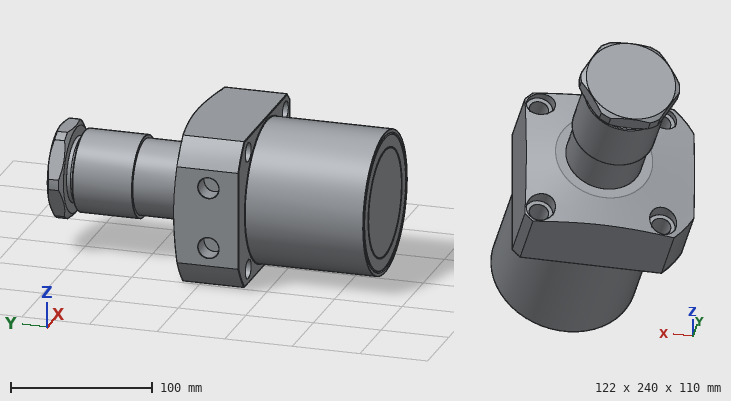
import cadquery as cq
import math

OVERALL_LENGTH = 240.0

CYLINDER_RADIUS = 52.5
CYLINDER_EDGE_CHAMFER = 0.2
CYLINDER_BASE_CHAMFER = 0.5
FLANGE_FRONT = 87.5
FLANGE_REAR = 144.2
FLANGE_LEFT = 67.0
FLANGE_RIGHT = 55.0
FLANGE_HALF_HEIGHT = 55.0
FLANGE_CORNER_RADIUS = 76.0
FLANGE_CORNER_CHAMFER = 5.8
FLANGE_FRONT_CHAMFER = 0.5
REAR_FLAT_RADIUS = 35.0
REAR_CONE_ANGLE = 15.0
ENVELOPE_CLEARANCE = 2.5

BOLT_HOLE_DIAMETER = 14.0
BOLT_SPACING = 88.0
COUNTERBORE_DIAMETER = 20.2
COUNTERBORE_FLOOR = 129.5
PORT_DIAMETER = 15.4
PORT_CHAMFER = 0.2
PORT_DEPTH = 14.5
PORT_SPACING = 45.0
PORT_Y = 110.0

GLAND_RADIUS = 49.5
PISTON_RADIUS = 39.5
BORE_DEPTH = FLANGE_FRONT
GLAND_RIM_CHAMFER = 0.7
PISTON_RIM_CHAMFER = 0.5

TUBE_RADIUS = 27.5
COLLAR_RADIUS = 30.0
COLLAR_START = 178.0
COLLAR_END = 222.5
COLLAR_FRONT_CHAMFER = 0.2
COLLAR_REAR_CHAMFER = 0.7

NECK_RADIUS = 24.0
NECK_TIP_RADIUS = 23.0
NECK_TAPER_END = 225.4
HEX_START = 228.2
HEX_ACROSS_FLATS = 65.0
HEX_TURN = 30.0
HEX_CORNER_RADIUS = 35.5
HEX_FRONT_FACE_RADIUS = 31.5
HEX_REAR_FACE_RADIUS = 32.2
HEX_CHAMFER_ANGLE = 30.0


def slope(angle):
    """Rise per unit of run for an angle in degrees."""
    return math.tan(math.radians(angle))


def turned(profile):
    """Revolve a closed outline of (radius, y) points about the Y axis."""
    return (
        cq.Workplane("YZ")
        .polyline([(y, radius) for radius, y in profile])
        .close()
        .revolve(360, (0, 0, 0), (1, 0, 0))
    )


def cross_plane(y):
    """Workplane across the axis at y, facing +Y, with local x = -X and local y = Z."""
    return cq.Workplane(cq.Plane(origin=(0, y, 0), xDir=(-1, 0, 0), normal=(0, 1, 0)))


def flange():
    """Rectangular block with two rounded left corners, two chamfered right ones and a conical rear."""
    arc_x = math.sqrt(FLANGE_CORNER_RADIUS**2 - FLANGE_HALF_HEIGHT**2)
    arc_z = math.sqrt(FLANGE_CORNER_RADIUS**2 - FLANGE_LEFT**2)
    middle_angle = math.atan2(arc_z + FLANGE_HALF_HEIGHT, arc_x + FLANGE_LEFT)
    middle_x = FLANGE_CORNER_RADIUS * math.cos(middle_angle)
    middle_z = FLANGE_CORNER_RADIUS * math.sin(middle_angle)
    chamfer_x = FLANGE_RIGHT - FLANGE_CORNER_CHAMFER
    chamfer_z = FLANGE_HALF_HEIGHT - FLANGE_CORNER_CHAMFER
    block = (
        cross_plane(FLANGE_FRONT)
        .moveTo(FLANGE_LEFT, -arc_z)
        .lineTo(FLANGE_LEFT, arc_z)
        .threePointArc((middle_x, middle_z), (arc_x, FLANGE_HALF_HEIGHT))
        .lineTo(-chamfer_x, FLANGE_HALF_HEIGHT)
        .lineTo(-FLANGE_RIGHT, chamfer_z)
        .lineTo(-FLANGE_RIGHT, -chamfer_z)
        .lineTo(-chamfer_x, -FLANGE_HALF_HEIGHT)
        .lineTo(arc_x, -FLANGE_HALF_HEIGHT)
        .threePointArc((middle_x, -middle_z), (FLANGE_LEFT, -arc_z))
        .close()
        .extrude(FLANGE_REAR - FLANGE_FRONT)
        .faces("<Y")
        .chamfer(FLANGE_FRONT_CHAMFER)
    )
    envelope_radius = FLANGE_CORNER_RADIUS + ENVELOPE_CLEARANCE
    cone_drop = (envelope_radius - REAR_FLAT_RADIUS) * slope(REAR_CONE_ANGLE)
    envelope = turned([
        (0, FLANGE_FRONT),
        (envelope_radius, FLANGE_FRONT),
        (envelope_radius, FLANGE_REAR - cone_drop),
        (REAR_FLAT_RADIUS, FLANGE_REAR),
        (0, FLANGE_REAR),
    ])
    return block.intersect(envelope)


def hole_pattern(diameter, start):
    """Cylinders at the four bolt positions, from the given Y to the rear of the flange."""
    return (
        cross_plane(start)
        .rect(BOLT_SPACING, BOLT_SPACING, forConstruction=True)
        .vertices()
        .circle(diameter / 2)
        .extrude(FLANGE_REAR - start)
    )


def bolt_holes():
    """Through holes, counterbored from the conical rear."""
    through_holes = hole_pattern(BOLT_HOLE_DIAMETER, FLANGE_FRONT)
    return through_holes.union(hole_pattern(COUNTERBORE_DIAMETER, COUNTERBORE_FLOOR))


def port(z):
    """Blind hole entering from the left face, with a chamfered mouth."""
    mouth_radius = PORT_DIAMETER / 2 + PORT_CHAMFER
    return (
        cq.Workplane("XY")
        .polyline([
            (0, 0),
            (0, mouth_radius),
            (PORT_CHAMFER, PORT_DIAMETER / 2),
            (PORT_DEPTH, PORT_DIAMETER / 2),
            (PORT_DEPTH, 0),
        ])
        .close()
        .revolve(360, (0, 0, 0), (1, 0, 0))
        .translate((-FLANGE_LEFT, PORT_Y, z))
    )


def make_housing():
    """Front cylinder and flange, with a bore for the gland ring and the piston."""
    cylinder = turned([
        (0, 0),
        (CYLINDER_RADIUS - CYLINDER_EDGE_CHAMFER, 0),
        (CYLINDER_RADIUS, CYLINDER_EDGE_CHAMFER),
        (CYLINDER_RADIUS, FLANGE_FRONT - CYLINDER_BASE_CHAMFER),
        (CYLINDER_RADIUS + CYLINDER_BASE_CHAMFER, FLANGE_FRONT),
        (0, FLANGE_FRONT),
    ])
    bore = turned([
        (0, 0),
        (GLAND_RADIUS + GLAND_RIM_CHAMFER, 0),
        (GLAND_RADIUS, GLAND_RIM_CHAMFER),
        (GLAND_RADIUS, BORE_DEPTH),
        (0, BORE_DEPTH),
    ])
    housing_body = cylinder.union(flange()).cut(bore).cut(bolt_holes())
    for side in (-1, 1):
        housing_body = housing_body.cut(port(side * PORT_SPACING / 2))
    return housing_body


def make_gland_ring():
    """Ring between the housing bore and the piston, chamfered on both front rims."""
    return turned([
        (PISTON_RADIUS + PISTON_RIM_CHAMFER, 0),
        (GLAND_RADIUS - GLAND_RIM_CHAMFER, 0),
        (GLAND_RADIUS, GLAND_RIM_CHAMFER),
        (GLAND_RADIUS, BORE_DEPTH),
        (PISTON_RADIUS, BORE_DEPTH),
        (PISTON_RADIUS, PISTON_RIM_CHAMFER),
    ])


def make_piston():
    """Plain round piston with a chamfered front rim."""
    return turned([
        (0, 0),
        (PISTON_RADIUS - PISTON_RIM_CHAMFER, 0),
        (PISTON_RADIUS, PISTON_RIM_CHAMFER),
        (PISTON_RADIUS, BORE_DEPTH),
        (0, BORE_DEPTH),
    ])


def make_rear_sleeve():
    """Slim tube standing on the flange, ending in a thicker collar."""
    return turned([
        (0, FLANGE_REAR),
        (TUBE_RADIUS, FLANGE_REAR),
        (TUBE_RADIUS, COLLAR_START),
        (COLLAR_RADIUS - COLLAR_FRONT_CHAMFER, COLLAR_START),
        (COLLAR_RADIUS, COLLAR_START + COLLAR_FRONT_CHAMFER),
        (COLLAR_RADIUS, COLLAR_END - COLLAR_REAR_CHAMFER),
        (COLLAR_RADIUS - COLLAR_REAR_CHAMFER, COLLAR_END),
        (0, COLLAR_END),
    ])


def make_screw():
    """Hexagonal head with turned corners, on a short neck with a tapered tip."""
    hexagon = (
        cross_plane(HEX_START)
        .polygon(6, HEX_ACROSS_FLATS, circumscribed=True)
        .extrude(OVERALL_LENGTH - HEX_START)
        .rotate((0, 0, 0), (0, 1, 0), HEX_TURN)
    )
    front_rise = (HEX_CORNER_RADIUS - HEX_FRONT_FACE_RADIUS) * slope(HEX_CHAMFER_ANGLE)
    rear_drop = (HEX_CORNER_RADIUS - HEX_REAR_FACE_RADIUS) * slope(HEX_CHAMFER_ANGLE)
    head_envelope = turned([
        (0, HEX_START),
        (HEX_FRONT_FACE_RADIUS, HEX_START),
        (HEX_CORNER_RADIUS, HEX_START + front_rise),
        (HEX_CORNER_RADIUS, OVERALL_LENGTH - rear_drop),
        (HEX_REAR_FACE_RADIUS, OVERALL_LENGTH),
        (0, OVERALL_LENGTH),
    ])
    neck = turned([
        (0, COLLAR_END),
        (NECK_TIP_RADIUS, COLLAR_END),
        (NECK_RADIUS, NECK_TAPER_END),
        (NECK_RADIUS, HEX_START),
        (0, HEX_START),
    ])
    return hexagon.intersect(head_envelope).union(neck)


housing = make_housing()
gland_ring = make_gland_ring()
piston = make_piston()
rear_sleeve = make_rear_sleeve()
screw = make_screw()

result = cq.Compound.makeCompound([
    housing.val(),
    gland_ring.val(),
    piston.val(),
    rear_sleeve.val(),
    screw.val(),
])